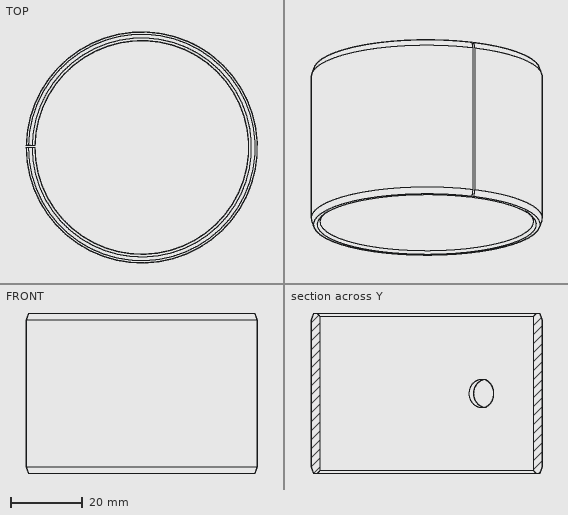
import cadquery as cq
import math

outer_diameter = 65.0
wall_thickness = 2.5
length = 45.0

outer_chamfer_length = 1.8
outer_chamfer_angle = 20.0
inner_chamfer = 0.8

split_angle = 1.0
split_end_angle = 180.0 - split_angle

oil_hole_diameter = 8.0
oil_hole_from_split = 120.0
oil_hole_angle = split_end_angle - oil_hole_from_split

outer_radius = outer_diameter / 2
inner_radius = outer_radius - wall_thickness
half_length = length / 2
outer_chamfer_depth = outer_chamfer_length * math.tan(math.radians(outer_chamfer_angle))


def make_split_sleeve():
    """Revolve the chamfered wall section from -X through -Y, +X and +Y, stopping short of a full turn."""
    outer_end_radius = outer_radius - outer_chamfer_depth
    inner_end_radius = inner_radius + inner_chamfer
    outer_chamfer_z = half_length - outer_chamfer_length
    inner_chamfer_z = half_length - inner_chamfer
    section = [
        (-inner_radius, -inner_chamfer_z),
        (-inner_end_radius, -half_length),
        (-outer_end_radius, -half_length),
        (-outer_radius, -outer_chamfer_z),
        (-outer_radius, outer_chamfer_z),
        (-outer_end_radius, half_length),
        (-inner_end_radius, half_length),
        (-inner_radius, inner_chamfer_z),
    ]
    axis_start = (0, 0)
    axis_end = (0, 1)
    return cq.Workplane("XZ").polyline(section).close().revolve(360 - split_angle, axis_start, axis_end)


def make_oil_hole():
    """Cylinder from the axis outward through one wall."""
    return (
        cq.Workplane("YZ")
        .circle(oil_hole_diameter / 2)
        .extrude(outer_diameter)
        .rotate((0, 0, 0), (0, 0, 1), oil_hole_angle)
    )


result = make_split_sleeve().cut(make_oil_hole())